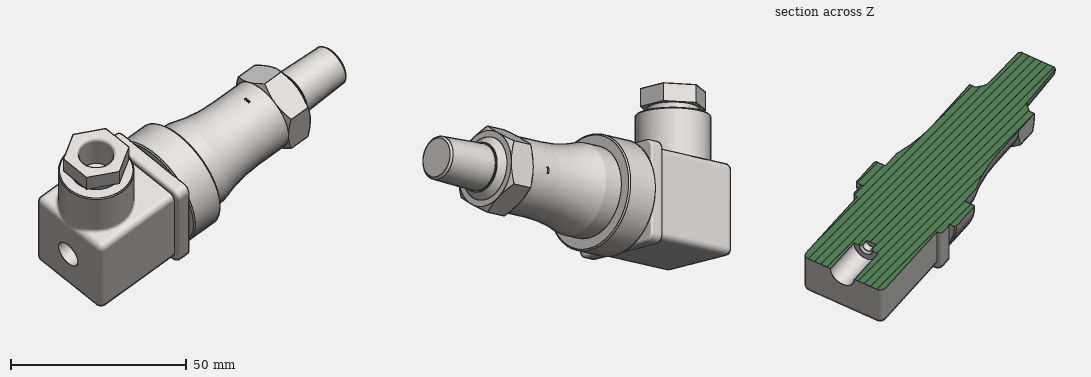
import cadquery as cq
import math


total_length = 103.7
overall_height = 52.5
stub_tip_dia = 12.5
stub_dia = 13.7
stub_tip_chamfer = 0.6
stub_taper_end = 88.7
stub_end_y = 87.1
shoulder_dia = 14.4
shoulder_cone_y = 86.7
nut_back_y = 84.7
nut_front_y = 76.1
nut_flats = 22.0
nut_chamfer_length = 1.0
barrel_dia = nut_flats
barrel_front_y = 65.5
rear_body_dia = 27.0
flare_front_y = 49.8

ring_dia = 33.9
ring_back_y = 44.0
ring_front_y = 33.5
ring_chamfer = 0.4

collar_size = 30.1
collar_front_y = 28.9
collar_corner_radius = 2.5
collar_front_edge_radius = 1.0
collar_back_edge_radius = 0.6
housing_size = 27.0
housing_edge_radius = 2.0

gland_y = 11.0
gland_dia = 21.6
gland_top_z = 28.0
gland_top_chamfer = 0.3
gland_base_radius = 1.0
neck_dia = 14.7
cap_bottom_z = 30.3
cap_top_z = overall_height - ring_dia / 2
cap_corners = 19.2
cable_hole_dia = 10.0
cable_hole_edge_radius = 1.0
cable_hole_depth = 10.4

screw_recess_dia = 8.0
screw_recess_depth = 12.4
screw_countersink_dia = 4.5
screw_bore_dia = 3.0
screw_bore_depth = 2.1

notch_y = 70.3
notch_width = 1.8
notch_length = 0.5
notch_depth = 0.5


def cylinder_along_y(diameter, start_y, end_y):
    """Cylinder on the sensor axis between two Y positions."""
    return cq.Workplane("XZ", origin=(0, start_y, 0)).circle(diameter / 2).extrude(start_y - end_y)


def square_along_y(size, start_y, end_y):
    """Square block centred on the sensor axis between two Y positions."""
    return cq.Workplane("XZ", origin=(0, start_y, 0)).rect(size, size).extrude(start_y - end_y)


def make_sensor_body():
    """Tapered stub, shoulder cone, barrel and flared rear body as one turned shape."""
    barrel_r = barrel_dia / 2
    rear_r = rear_body_dia / 2
    flare_length = barrel_front_y - flare_front_y
    flare_rise = rear_r - barrel_r
    flare_radius = (flare_length ** 2 + flare_rise ** 2) / (2 * flare_rise)
    half_angle = math.asin(flare_length / flare_radius) / 2
    flare_mid = (
        barrel_r + flare_radius * (1 - math.cos(half_angle)),
        barrel_front_y - flare_radius * math.sin(half_angle),
    )
    cone_base_r = shoulder_dia / 2 + shoulder_cone_y - nut_back_y
    return (
        cq.Workplane("XY")
        .moveTo(0, total_length)
        .lineTo(stub_tip_dia / 2 - stub_tip_chamfer, total_length)
        .lineTo(stub_tip_dia / 2, total_length - stub_tip_chamfer)
        .lineTo(stub_dia / 2, stub_taper_end)
        .lineTo(stub_dia / 2, stub_end_y)
        .lineTo(shoulder_dia / 2, stub_end_y)
        .lineTo(shoulder_dia / 2, shoulder_cone_y)
        .lineTo(cone_base_r, nut_back_y)
        .lineTo(barrel_r, nut_back_y)
        .lineTo(barrel_r, barrel_front_y)
        .threePointArc(flare_mid, (rear_r, flare_front_y))
        .lineTo(rear_r, ring_front_y)
        .lineTo(0, ring_front_y)
        .close()
        .revolve(360, (0, 0, 0), (0, 1, 0))
    )


def make_nut():
    """Hexagon with corners up and down, its corners turned off at both ends."""
    corner_dia = nut_flats / math.cos(math.pi / 6)
    hexagon = (
        cq.Workplane("XZ", origin=(0, nut_back_y, 0))
        .transformed(rotate=(0, 0, 90))
        .polygon(6, corner_dia)
        .extrude(nut_back_y - nut_front_y)
    )
    turned = cylinder_along_y(corner_dia, nut_back_y, nut_front_y)
    turned = turned.edges().chamfer(nut_chamfer_length, (corner_dia - nut_flats) / 2)
    return hexagon.intersect(turned)


def make_ring():
    """Union ring with both rims lightly chamfered."""
    return cylinder_along_y(ring_dia, ring_back_y, ring_front_y).edges().chamfer(ring_chamfer)


def make_collar():
    """Square gasket collar with rounded corners and rims."""
    collar = square_along_y(collar_size, ring_front_y, collar_front_y)
    collar = collar.edges("|Y").fillet(collar_corner_radius)
    collar = collar.faces("<Y").edges().fillet(collar_front_edge_radius)
    return collar.faces(">Y").edges().fillet(collar_back_edge_radius)


def make_housing():
    """Plug housing with its gland barrel blended into the rounded top."""
    block = square_along_y(housing_size, collar_front_y, 0)
    block = block.edges("|Y or <Y").fillet(housing_edge_radius)
    barrel = cq.Workplane("XY", origin=(0, gland_y, 0)).circle(gland_dia / 2).extrude(gland_top_z)
    barrel = barrel.faces(">Z").edges().chamfer(gland_top_chamfer)
    housing = block.union(barrel)
    seam_zone = cq.selectors.BoxSelector(
        (-gland_dia / 2, 0, housing_size / 2 - housing_edge_radius),
        (gland_dia / 2, gland_y + gland_dia / 2, housing_size / 2 + housing_edge_radius),
    )
    return housing.edges(seam_zone).edges("%CIRCLE or %BSPLINE").fillet(gland_base_radius)


def make_cap():
    """Hexagon cap on a round neck."""
    cap_base = cq.Workplane("XY", origin=(0, gland_y, cap_bottom_z))
    cap = cap_base.polygon(6, cap_corners).extrude(cap_top_z - cap_bottom_z)
    neck = cap_base.circle(neck_dia / 2).extrude(gland_top_z - cap_bottom_z)
    return cap.union(neck)


def cut_cable_hole(body):
    """Blind hole down through the cap, rounded at its mouth."""
    cap_face = cq.Workplane("XY", origin=(0, gland_y, cap_top_z))
    hole = cap_face.circle(cable_hole_dia / 2).extrude(-cable_hole_depth)
    return body.cut(hole).faces(">Z").edges("%CIRCLE").fillet(cable_hole_edge_radius)


def make_screw_hole():
    """Stepped hole on the sensor axis: deep recess, short countersink and a narrow bore."""
    recess_r = screw_recess_dia / 2
    countersink_r = screw_countersink_dia / 2
    bore_r = screw_bore_dia / 2
    countersink_end = screw_recess_depth + countersink_r - bore_r
    return (
        cq.Workplane("XY")
        .polyline([
            (0, 0),
            (recess_r, 0),
            (recess_r, screw_recess_depth),
            (countersink_r, screw_recess_depth),
            (bore_r, countersink_end),
            (bore_r, countersink_end + screw_bore_depth),
            (0, countersink_end + screw_bore_depth),
        ])
        .close()
        .revolve(360, (0, 0, 0), (0, 1, 0))
    )


def make_barrel_notches():
    """Short slits across the barrel, one on top and one on the -X side."""
    top_notch = cq.Workplane("XY").box(notch_width, notch_length, 2 * notch_depth)
    top_notch = top_notch.translate((0, notch_y, barrel_dia / 2))
    side_notch = top_notch.rotate((0, 0, 0), (0, 1, 0), -90)
    return top_notch.union(side_notch)


result = make_sensor_body()
for feature in (make_nut(), make_ring(), make_collar(), make_housing(), make_cap()):
    result = result.union(feature)
result = cut_cable_hole(result)
result = result.cut(make_screw_hole()).cut(make_barrel_notches())